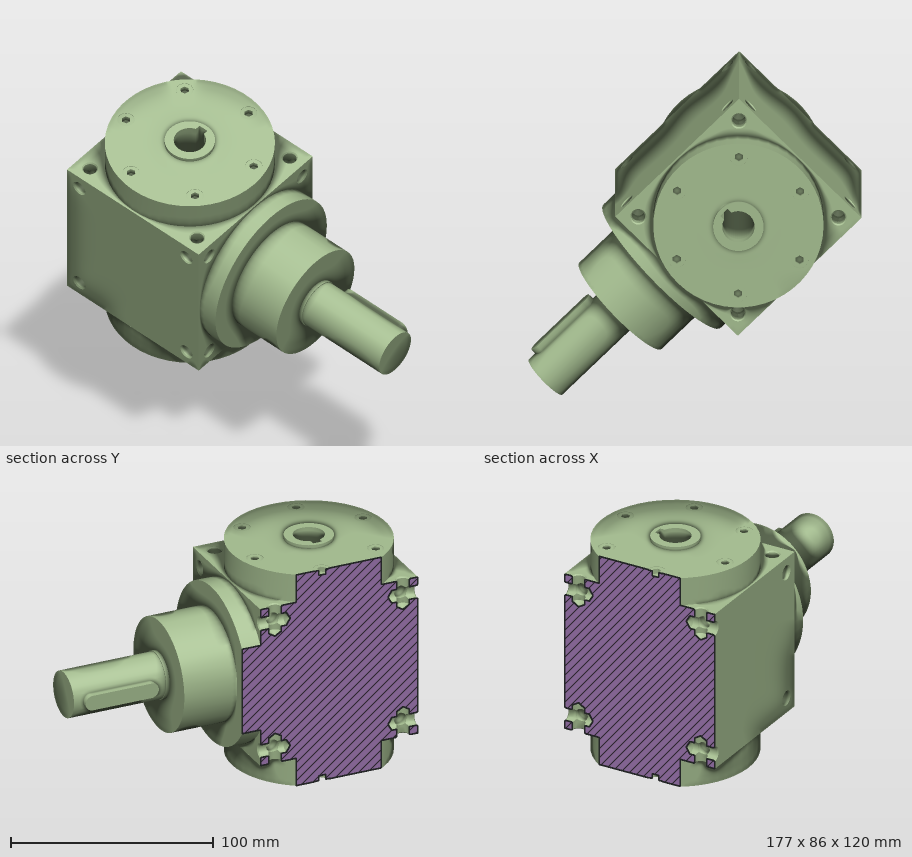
import cadquery as cq
import math

CUBE_SIDE = 86.0
CUBE_HALF = CUBE_SIDE / 2

COVER_DIAMETER = 84.0
COVER_HEIGHT = 15.0
HOLLOW_SHAFT_DIAMETER = 25.0
HOLLOW_SHAFT_PROTRUSION = 2.0
OUTPUT_BORE_DIAMETER = 16.0
OUTPUT_KEYWAY_WIDTH = 5.1
OUTPUT_KEYWAY_TOP = 10.3
OUTPUT_LENGTH = CUBE_SIDE + 2 * (COVER_HEIGHT + HOLLOW_SHAFT_PROTRUSION)

SCREW_COUNT = 6
SCREW_CIRCLE_DIAMETER = 70.1
SCREW_START_ANGLE = 15
SCREW_HEAD_DIAMETER = 8.5
SCREW_HEAD_SINK = 0.2
SOCKET_SIDES = 6
SOCKET_CORNER_DIAMETER = 4.6
SOCKET_DEPTH = 2.7

MOUNTING_HOLE_PITCH = 70.0
MOUNTING_HOLE_DIAMETER = 6.7
MOUNTING_HOLE_MOUTH_DIAMETER = 8.0
MOUNTING_HOLE_DEPTH = 14.2
DRILL_POINT_ANGLE = 118

FLANGE_DIAMETER = 84.0
FLANGE_LENGTH = 10.1
HUB_DIAMETER = 59.0
HUB_LENGTH = 28.9
SHOULDER_DIAMETER = 25.0
SHOULDER_LENGTH = 2.0
INPUT_SHAFT_DIAMETER = 24.0
TOTAL_LENGTH = 177.0
INPUT_SHAFT_LENGTH = TOTAL_LENGTH - CUBE_SIDE - FLANGE_LENGTH - HUB_LENGTH - SHOULDER_LENGTH
INPUT_SHAFT_END = TOTAL_LENGTH - CUBE_HALF

KEY_LENGTH = 40.0
KEY_WIDTH = 8.0
KEY_HEIGHT = 7.0
KEY_TOP = 15.0
KEY_END_GAP = 5.0
KEY_CENTRE_X = INPUT_SHAFT_END - KEY_END_GAP - KEY_LENGTH / 2


def input_side():
    """Stepped flange, hub, shoulder and input shaft along +X."""
    steps = [
        (FLANGE_DIAMETER, FLANGE_LENGTH),
        (HUB_DIAMETER, HUB_LENGTH),
        (SHOULDER_DIAMETER, SHOULDER_LENGTH),
        (INPUT_SHAFT_DIAMETER, INPUT_SHAFT_LENGTH),
    ]
    body = cq.Workplane("YZ")
    start = CUBE_HALF
    for diameter, length in steps:
        step = cq.Workplane("YZ", origin=(start, 0, 0)).circle(diameter / 2).extrude(length)
        body = body.union(step) if start > CUBE_HALF else step
        start += length
    return body


def output_side():
    """Cover and hollow shaft end on the top face, and again on the bottom face."""
    covers = cq.Workplane("XY").circle(COVER_DIAMETER / 2).extrude(CUBE_HALF + COVER_HEIGHT, both=True)
    shaft = cq.Workplane("XY").circle(HOLLOW_SHAFT_DIAMETER / 2).extrude(OUTPUT_LENGTH / 2, both=True)
    return covers.union(shaft)


def output_bore():
    """Through bore of the hollow shaft, with its keyway on the +Y side."""
    bore = cq.Workplane("XY").circle(OUTPUT_BORE_DIAMETER / 2).extrude(OUTPUT_LENGTH / 2, both=True)
    keyway = cq.Workplane("XY").box(OUTPUT_KEYWAY_WIDTH, OUTPUT_KEYWAY_TOP, OUTPUT_LENGTH)
    return bore.union(keyway.translate((0, OUTPUT_KEYWAY_TOP / 2, 0)))


def cover_screw_recesses():
    """Sunk heads and hexagon sockets of the six screws in the top cover."""
    face = cq.Workplane("XY", origin=(0, 0, CUBE_HALF + COVER_HEIGHT))
    face = face.polarArray(SCREW_CIRCLE_DIAMETER / 2, SCREW_START_ANGLE, 360, SCREW_COUNT)
    heads = face.circle(SCREW_HEAD_DIAMETER / 2).extrude(-SCREW_HEAD_SINK)
    sockets = face.polygon(SOCKET_SIDES, SOCKET_CORNER_DIAMETER).extrude(-SCREW_HEAD_SINK - SOCKET_DEPTH)
    return heads.union(sockets)


def mounting_hole():
    """One blind hole, drilled down from the origin along -Z, with a 45 degree mouth and a drill point."""
    radius = MOUNTING_HOLE_DIAMETER / 2
    mouth_radius = MOUNTING_HOLE_MOUTH_DIAMETER / 2
    point_depth = radius / math.tan(math.radians(DRILL_POINT_ANGLE / 2))
    half_section = [
        (0, 0),
        (mouth_radius, 0),
        (radius, radius - mouth_radius),
        (radius, -MOUNTING_HOLE_DEPTH),
        (0, -MOUNTING_HOLE_DEPTH - point_depth),
    ]
    return cq.Workplane("XZ").polyline(half_section).close().revolve(360, (0, 0), (0, 1))


def face_mounting_holes():
    """The four mounting holes of the top face of the cube."""
    corners = cq.Workplane("XY", origin=(0, 0, CUBE_HALF)).rect(
        MOUNTING_HOLE_PITCH, MOUNTING_HOLE_PITCH, forConstruction=True
    )
    hole = mounting_hole().val()
    return corners.vertices().eachpoint(lambda place: hole.moved(place), combine=False).combine()


def key_block():
    """Parallel key with half-round ends, in its place on the input shaft."""
    blank = cq.Workplane("XZ", origin=(KEY_CENTRE_X, KEY_TOP, 0))
    return blank.slot2D(KEY_LENGTH, KEY_WIDTH).extrude(KEY_HEIGHT)


def gearbox_body():
    """Housing with covers, output shaft and input shaft, and a pocket for the key."""
    body = cq.Workplane("XY").box(CUBE_SIDE, CUBE_SIDE, CUBE_SIDE)
    body = body.union(output_side()).union(input_side()).cut(output_bore())

    screw_recesses = cover_screw_recesses()
    body = body.cut(screw_recesses).cut(screw_recesses.mirror("XY"))

    top_holes = face_mounting_holes()
    for quarter_turn in range(4):
        body = body.cut(top_holes.rotate((0, 0, 0), (1, 0, 0), 90 * quarter_turn))
    for side_angle in (90, -90):
        body = body.cut(top_holes.rotate((0, 0, 0), (0, 1, 0), side_angle))

    return body.cut(key_block())


gearbox = gearbox_body()
key = key_block()

result = cq.Compound.makeCompound([gearbox.val(), key.val()])